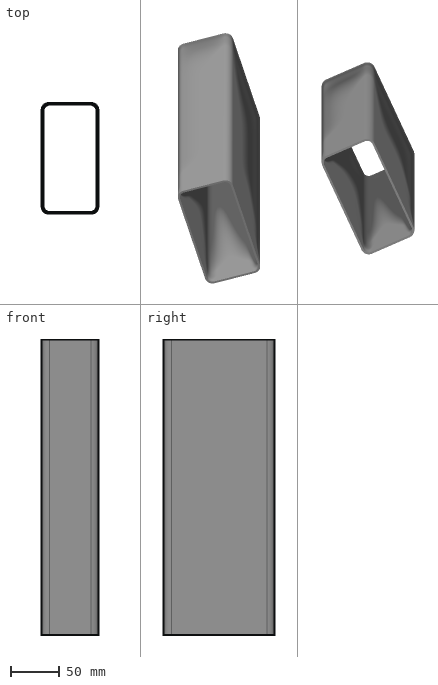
import cadquery as cq

width = 58.93
depth = 114.63
length = 304.8
wall = 2.16
outer_radius = 8.12
inner_radius = outer_radius - wall


def rounded_bar(size_x, size_y, corner_radius):
    """Full-length bar with its four long edges rounded."""
    bar = cq.Workplane("XY").rect(size_x, size_y).extrude(length)
    return bar.edges("|Z").fillet(corner_radius)


outer_bar = rounded_bar(width, depth, outer_radius)
bore = rounded_bar(width - 2 * wall, depth - 2 * wall, inner_radius)

result = outer_bar.cut(bore)